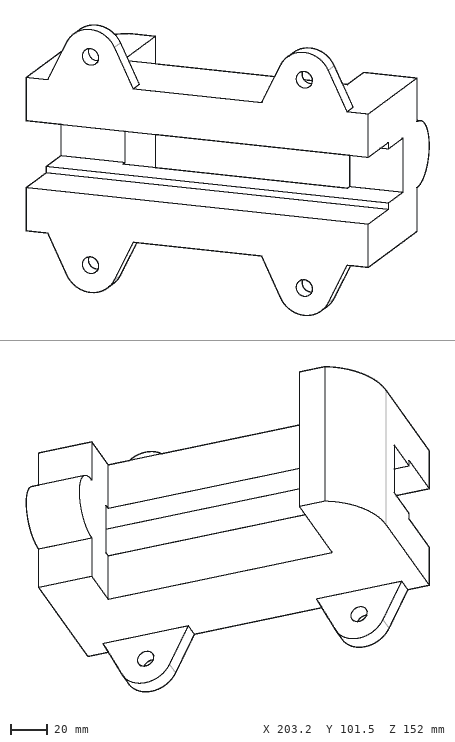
import cadquery as cq
import math

length = 203.2
height = 88.8
base_depth = 50.8

left_jaw_width = 38.2
left_jaw_reach = 101.5
nose_radius = left_jaw_width
nose_flat = 15.2
right_jaw_width = 31.7
right_jaw_reach = 76.2
lug_radius = 19.0

channel_mouth_height = 38.6
channel_mouth_depth = 31.3
channel_inner_height = 31.3
channel_depth = 54.0

ear_radius = 15.8
ear_thickness = 9.5
ear_half_base = 25.5
ear_hole_diameter = 9.5
ear_spacing = 127.0
first_ear_x = 38.2


def centred_box(x_start, x_end, y_start, y_end, z_size):
    """Box between the given X and Y limits, centred on Z = 0."""
    box = cq.Workplane("XY").box(x_end - x_start, y_end - y_start, z_size, centered=(False, False, True))
    return box.translate((x_start, y_start, 0))


def make_body():
    """U-shaped plan outline with a round-nosed left jaw, extruded over the height."""
    nose_end_x = left_jaw_width - nose_flat
    nose_rise = math.sqrt(nose_radius**2 - nose_flat**2)
    nose_start_y = left_jaw_reach - nose_rise
    right_jaw_x = length - right_jaw_width
    return (
        cq.Workplane("XY")
        .workplane(offset=-height / 2)
        .moveTo(0, 0)
        .lineTo(length, 0)
        .lineTo(length, right_jaw_reach)
        .lineTo(right_jaw_x, right_jaw_reach)
        .lineTo(right_jaw_x, base_depth)
        .lineTo(left_jaw_width, base_depth)
        .lineTo(left_jaw_width, left_jaw_reach)
        .lineTo(nose_end_x, left_jaw_reach)
        .radiusArc((0, nose_start_y), -nose_radius)
        .close()
        .extrude(height)
    )


def make_lug():
    """Half-round lug on the end of the right jaw; its front half lies inside the jaw."""
    return (
        cq.Workplane("YZ")
        .workplane(offset=length - right_jaw_width)
        .center(right_jaw_reach, 0)
        .circle(lug_radius)
        .extrude(right_jaw_width)
    )


def make_upper_ear(centre_x):
    """Ear above the block, with sides tangent to its round tip."""
    centre_z = height / 2 + ear_radius
    side_angle = 2 * math.atan2(ear_radius, ear_half_base)
    tangent_x = ear_radius * math.sin(side_angle)
    tangent_z = centre_z + ear_radius * math.cos(side_angle)
    return (
        cq.Workplane("XZ")
        .moveTo(centre_x - ear_half_base, height / 2)
        .lineTo(centre_x - tangent_x, tangent_z)
        .threePointArc((centre_x, centre_z + ear_radius), (centre_x + tangent_x, tangent_z))
        .lineTo(centre_x + ear_half_base, height / 2)
        .close()
        .moveTo(centre_x, centre_z)
        .circle(ear_hole_diameter / 2)
        .extrude(-ear_thickness)
    )


result = make_body().union(make_lug())
result = result.cut(centred_box(0, length, 0, channel_depth, channel_inner_height))
result = result.cut(centred_box(0, length, 0, channel_mouth_depth, channel_mouth_height))

for ear_x in (first_ear_x, first_ear_x + ear_spacing):
    upper_ear = make_upper_ear(ear_x)
    result = result.union(upper_ear).union(upper_ear.mirror("XY"))